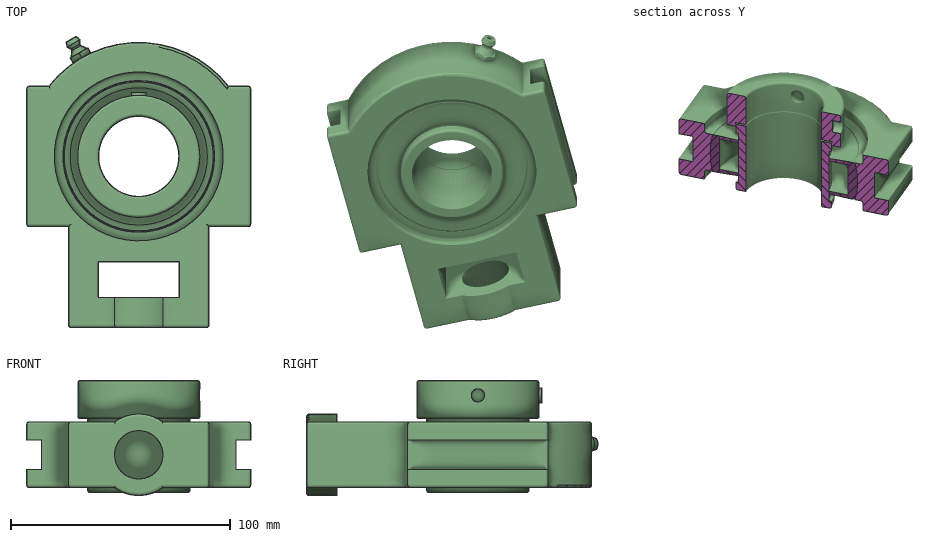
import cadquery as cq
import math

housing_height = 30.0
wing_width = 102.0
wing_half_length = 32.0
crown_radius = 51.9
tail_width = 64.0
tail_reach = 78.0
edge_fillet = 1.26

groove_width = 13.3
groove_depth = 6.6

window_width = 36.9
window_back = 48.0
window_front = 64.2
boss_radius = 18.6
boss_hole_diameter = 22.0

recess_diameter = 77.0
recess_fillet = 1.0

ring_sphere_diameter = 71.6
outer_ring_height = 19.9
outer_ring_bore = 62.5
ring_edge_chamfer = 0.5
inner_ring_diameter = 46.7
shaft_diameter = 36.5
inner_ring_bottom = -17.2
inner_ring_top = 18.0
seal_land_diameter = 44.2
seal_land_half_height = 13.1
inner_ring_fillet = 1.26

seal_thickness = 2.0
seal_rise = -0.4

collar_diameter = 55.6
collar_bottom = 16.6
collar_top = 33.8
collar_fillet = 1.2
collar_recess_depth = 2.0
collar_bottom_fillet = 0.8
screw_diameter = 6.8
screw_height = 27.1
screw_inner_end = 21.2
screw_outer_end = 29.2
hook_hole_diameter = 6.0
hook_hole_depth = 4.0

nipple_angle = 30.0
nipple_height = 4.9
shank_diameter = 8.0
shank_start = 46.5
hex_start = 51.9
hex_flats = 9.3
hex_shoulder = 54.4
hex_chamfer_height = 0.4
hex_chamfer_width = 0.7
cone_base_radius = 4.2
neck_radius = 2.4
neck_start = 56.9
neck_end = 57.7
head_radius = 3.3
head_widest = 59.5
tip_radius = 2.72
tip_distance = 61.5
tip_hole_diameter = 2.5
tip_hole_depth = 2.0


def cylinder(diameter, bottom, top):
    """Upright cylinder on the bearing axis."""
    return cq.Workplane("XY").workplane(offset=bottom).circle(diameter / 2).extrude(top - bottom)


def radial_cylinder(direction, height, diameter, start, end):
    """Cylinder along a horizontal direction from the bearing axis."""
    plane = cq.Plane(origin=(0, 0, height), xDir=(0, 0, 1), normal=direction)
    return cq.Workplane(plane).workplane(offset=start).circle(diameter / 2).extrude(end - start)


def make_plate():
    """Wings, crown and tail with all outer edges rounded."""
    wings = cq.Workplane("XY").box(wing_width, 2 * wing_half_length, housing_height)
    tail = cq.Workplane("XY").box(tail_width, tail_reach, housing_height).translate((0, -tail_reach / 2, 0))
    crown_limit = cq.Workplane("XY").box(wing_width, crown_radius, housing_height)
    crown_limit = crown_limit.translate((0, wing_half_length + crown_radius / 2 - edge_fillet, 0))
    crown = cylinder(2 * crown_radius, -housing_height / 2, housing_height / 2).intersect(crown_limit)
    plate = wings.union(tail).union(crown)
    plate = plate.edges("|Z").edges("<X or >X or <Y").fillet(edge_fillet)
    return plate.faces("<Z or >Z").edges().fillet(edge_fillet)


def make_boss():
    """Round boss at the tail end, with its front edge rounded."""
    boss = radial_cylinder((0, -1, 0), 0, 2 * boss_radius, window_front, tail_reach)
    return boss.faces("<Y").edges().fillet(edge_fillet)


def make_window():
    """Cutter for the rectangular opening through the tail."""
    window_length = window_front - window_back
    window = cq.Workplane("XY").box(window_width, window_length, 2 * boss_radius)
    return window.translate((0, -(window_back + window_front) / 2, 0))


def make_guide_grooves():
    """Cutter for the two guide grooves, each open at both wing ends."""
    groove = cq.Workplane("XY").box(2 * groove_depth, 2 * crown_radius, groove_width)
    grooves = groove.translate((wing_width / 2, 0, 0))
    return grooves.union(groove.translate((-wing_width / 2, 0, 0)))


def make_bearing_seat():
    """Cutter for the spherical seat and the filleted recess on either side of it."""
    seat = cq.Workplane("XY").sphere(ring_sphere_diameter / 2)
    recess = cylinder(recess_diameter, outer_ring_height / 2, housing_height)
    recess = recess.faces("<Z").edges().fillet(recess_fillet)
    return seat.union(recess).union(recess.mirror("XY"))


def make_nipple():
    """Grease nipple: shank, hexagon, cone, neck and head with a blind tip hole."""
    profile = (
        cq.Workplane("XZ")
        .moveTo(0, hex_shoulder)
        .lineTo(cone_base_radius, hex_shoulder)
        .lineTo(neck_radius, neck_start)
        .lineTo(neck_radius, neck_end)
        .lineTo(head_radius, head_widest)
        .lineTo(tip_radius, tip_distance)
        .lineTo(0, tip_distance)
        .close()
    )
    head = profile.revolve(360, (0, 0), (0, 1))
    hexagon = (
        cq.Workplane("XY")
        .workplane(offset=hex_start)
        .polygon(6, hex_flats, circumscribed=True)
        .extrude(hex_shoulder - hex_start)
    )
    hex_envelope = cylinder(hex_flats / math.cos(math.pi / 6), hex_start, hex_shoulder)
    hex_envelope = hex_envelope.faces(">Z").edges().chamfer(hex_chamfer_height, hex_chamfer_width)
    hexagon = hexagon.intersect(hex_envelope)
    tip_hole = cylinder(tip_hole_diameter, tip_distance - tip_hole_depth, tip_distance)
    nipple = cylinder(shank_diameter, shank_start, hex_start).union(hexagon).union(head).cut(tip_hole)
    upright_to_radial = nipple.rotate((0, 0, 0), (1, 0, 0), -90)
    return upright_to_radial.rotate((0, 0, 0), (0, 0, 1), nipple_angle).translate((0, 0, nipple_height))


def make_housing():
    """Take-up housing, cut for the bearing and the nipple shank."""
    boss_hole = radial_cylinder((0, -1, 0), 0, boss_hole_diameter, window_back, tail_reach)
    housing = make_plate().union(make_boss()).cut(boss_hole)
    return housing.cut(make_window()).cut(make_guide_grooves()).cut(make_bearing_seat()).cut(make_nipple())


def make_outer_ring():
    """Outer bearing ring with a spherical outside and a plain bore."""
    half_height = outer_ring_height / 2
    ring = cq.Workplane("XY").sphere(ring_sphere_diameter / 2)
    ring = ring.intersect(cylinder(ring_sphere_diameter, -half_height, half_height))
    ring = ring.faces("<Z or >Z").edges().chamfer(ring_edge_chamfer)
    return ring.cut(cylinder(outer_ring_bore, -half_height, half_height))


def make_inner_ring():
    """Inner bearing ring, reaching up into the collar."""
    ring = cylinder(inner_ring_diameter, inner_ring_bottom, inner_ring_top)
    ring = ring.faces("<Z").edges().fillet(inner_ring_fillet)
    relief = cylinder(inner_ring_diameter, -seal_land_half_height, seal_land_half_height)
    relief = relief.cut(cylinder(seal_land_diameter, -seal_land_half_height, seal_land_half_height))
    ring = ring.cut(relief)
    return ring.cut(cylinder(shaft_diameter, inner_ring_bottom, inner_ring_top))


def make_upper_seal():
    """Seal ring whose upper face slopes slightly down towards the inner ring."""
    outside = outer_ring_bore / 2
    inside = seal_land_diameter / 2
    face = outer_ring_height / 2
    section = cq.Workplane("XZ").polyline(
        [
            (inside, face - seal_thickness),
            (outside, face - seal_thickness),
            (outside, face),
            (inside, face + seal_rise),
        ]
    )
    return section.close().revolve(360, (0, 0), (0, 1))


def make_collar():
    """Locking collar with a set-screw hole and a blind hook hole."""
    collar = cylinder(collar_diameter, collar_bottom, collar_top).cut(
        cylinder(shaft_diameter, collar_bottom, collar_top)
    )
    collar = collar.faces(">Z").edges().fillet(collar_fillet)
    collar = collar.cut(cylinder(inner_ring_diameter, collar_bottom, collar_bottom + collar_recess_depth))
    outer_bottom_edge = collar.faces("<Z").edges(cq.selectors.RadiusNthSelector(-1))
    collar = outer_bottom_edge.fillet(collar_bottom_fillet)
    screw_hole = radial_cylinder((0, 1, 0), screw_height, screw_diameter, 0, collar_diameter)
    hook_hole = radial_cylinder(
        (1, 0, 0), screw_height, hook_hole_diameter, collar_diameter / 2 - hook_hole_depth, collar_diameter
    )
    return collar.cut(screw_hole).cut(hook_hole)


def make_set_screw():
    """Headless set screw standing slightly proud of the collar."""
    return radial_cylinder((0, 1, 0), screw_height, screw_diameter, screw_inner_end, screw_outer_end)


housing = make_housing()
nipple = make_nipple()
outer_ring = make_outer_ring()
inner_ring = make_inner_ring()
upper_seal = make_upper_seal()
lower_seal = upper_seal.mirror("XY")
collar = make_collar()
set_screw = make_set_screw()

bodies = [housing, nipple, outer_ring, inner_ring, upper_seal, lower_seal, collar, set_screw]
result = cq.Compound.makeCompound([body.val() for body in bodies])